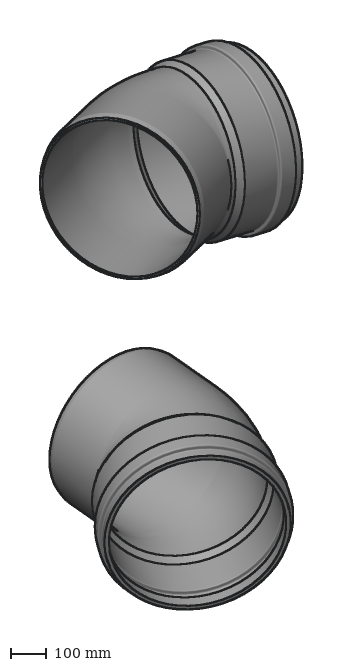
import cadquery as cq

bend_angle = 30.0
bend_radius = 238.0
wall = 12.9

pipe_radius = 500.0 / 2
socket_radius = 528.0 / 2
bead_radius = 555.0 / 2

spigot_length = 205.0
spigot_chamfer_length = 19.0
spigot_chamfer_depth = 5.0

stub_end = 17.0
flare_end = 40.0
bead_start = 155.5
bead_end = 208.0
socket_length = 237.5

crest_round = 4.5
foot_round = 3.0


def spigot(inset, chamfered):
    radius = pipe_radius - inset
    rim_radius = radius - spigot_chamfer_depth if chamfered else radius
    return (
        cq.Workplane("XY")
        .lineTo(rim_radius, 0)
        .lineTo(radius, spigot_chamfer_length)
        .lineTo(radius, spigot_length)
        .lineTo(0, spigot_length)
        .close()
        .revolve(360, (0, 0), (0, 1))
    )


def bend(inset):
    """Sweep the pipe section about the bend axis, leaving out any part past that axis."""
    radius = pipe_radius - inset
    reach = min(radius, bend_radius)
    section_side = 2 * radius
    keep = cq.Workplane("XZ").center(reach - radius, 0).rect(section_side, section_side)
    section = cq.Workplane("XZ").circle(radius).extrude(-6.5).intersect(keep.extrude(-6.5))
    face = section.faces("<Y").val()
    swept = cq.Solid.revolve(
        face.outerWire(), [], bend_angle,
        cq.Vector(bend_radius, 0, 0), cq.Vector(bend_radius, 0, -6.5),
    )
    return cq.Workplane(swept).translate((0, spigot_length, 0))


def socket(inset):
    pipe = pipe_radius - inset
    bell = socket_radius - inset
    bead = bead_radius - inset
    start = bead_start + inset
    end = bead_end - inset
    outline = (
        cq.Workplane("XY")
        .lineTo(pipe, 0)
        .lineTo(pipe, stub_end)
        .lineTo(bell, flare_end)
        .lineTo(bell, start - foot_round)
        .tangentArcPoint((bell + foot_round, start), relative=False)
        .lineTo(bead - crest_round, start)
        .tangentArcPoint((bead, start + crest_round), relative=False)
        .lineTo(bead, end - crest_round)
        .tangentArcPoint((bead - crest_round, end), relative=False)
        .lineTo(bell + foot_round, end)
        .tangentArcPoint((bell, end + foot_round), relative=False)
        .lineTo(bell, socket_length)
        .lineTo(0, socket_length)
        .close()
        .revolve(360, (0, 0), (0, 1))
    )
    pivot = (bend_radius, 0, 0)
    pivot_axis_end = (bend_radius, 0, -1)
    return outline.rotate(pivot, pivot_axis_end, bend_angle).translate((0, spigot_length, 0))


def elbow(inset, chamfered):
    return spigot(inset, chamfered).union(bend(inset)).union(socket(inset))


body = elbow(0, chamfered=True)
bore = elbow(wall, chamfered=False)
result = body.cut(bore)